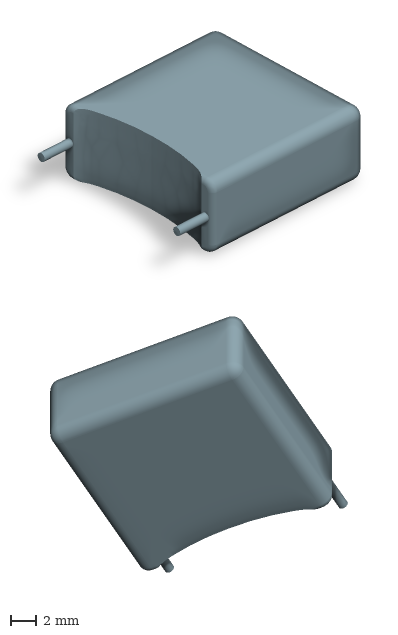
import cadquery as cq

case_width = 17.02
case_height = 6.85
overall_length = 20.0
lead_length = 3.15
case_length = overall_length - lead_length
edge_radius = 1.0
lead_end_radius = 0.52

curve_depth = 1.55
curve_half_span = 7.28
shallow_offset = 5.35
shallow_depth = 0.95
flare_offset = 6.65
flare_depth = 0.48
apex_tangent = (1, 0)
end_tangent = (1, -1)

lead_diameter = 0.8
lead_offset = 7.7
lead_seat_depth = lead_end_radius

lead_end_y = -overall_length / 2 + lead_length
lead_tip_y = -overall_length / 2


def make_rounded_block():
    """Box with round edges, tighter around the lead end."""
    block = cq.Workplane("XY").box(case_width, case_length, case_height)
    block = block.translate((0, lead_end_y + case_length / 2, 0))
    block = block.edges("|Y").fillet(edge_radius)
    block = block.faces(">Y").edges().fillet(edge_radius)
    return block.faces("<Y").edges().fillet(lead_end_radius)


def make_end_recess():
    """Cutters for the concave lead end: two mirrored halves meeting on the centre plane."""
    right_curve = [
        (shallow_offset, lead_end_y + shallow_depth),
        (flare_offset, lead_end_y + flare_depth),
        (curve_half_span, lead_end_y),
    ]
    apex = (0, lead_end_y + curve_depth)
    right_half = (
        cq.Workplane("XY", origin=(0, 0, -case_height / 2))
        .moveTo(*apex)
        .spline(right_curve, tangents=[apex_tangent, end_tangent], includeCurrent=True)
        .lineTo(0, lead_end_y)
        .close()
        .extrude(case_height)
    )
    return [right_half, right_half.mirror("YZ")]


def make_lead(x):
    """Straight wire from the bottom of its seat out to the tip."""
    return (
        cq.Workplane("XZ", origin=(x, lead_tip_y, 0))
        .circle(lead_diameter / 2)
        .extrude(-(lead_length + lead_seat_depth))
    )


leads = [make_lead(side * lead_offset) for side in (-1, 1)]

case = make_rounded_block()
for cutter in make_end_recess() + leads:
    case = case.cut(cutter)

result = cq.Compound.makeCompound([case.val(), *[lead.val() for lead in leads]])